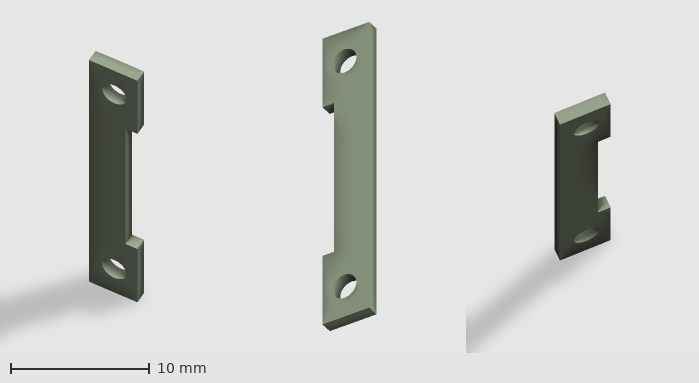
import cadquery as cq

width = 4.0
thickness = 1.0
height = 25.0

hole_diameter = 2.0
hole_from_left = 2.1
hole_from_end = 2.65

notch_depth = 1.0
notch_height = 13.0


def make_strap():
    return cq.Workplane("XY").box(width, thickness, height)


def make_notch():
    notch = cq.Workplane("XY").box(notch_depth, thickness, notch_height)
    return notch.translate(((width - notch_depth) / 2, 0, 0))


def make_holes():
    hole_x = hole_from_left - width / 2
    hole_z = height / 2 - hole_from_end
    return (
        cq.Workplane("XZ")
        .pushPoints([(hole_x, -hole_z), (hole_x, hole_z)])
        .circle(hole_diameter / 2)
        .extrude(thickness / 2, both=True)
    )


result = make_strap().cut(make_notch()).cut(make_holes())